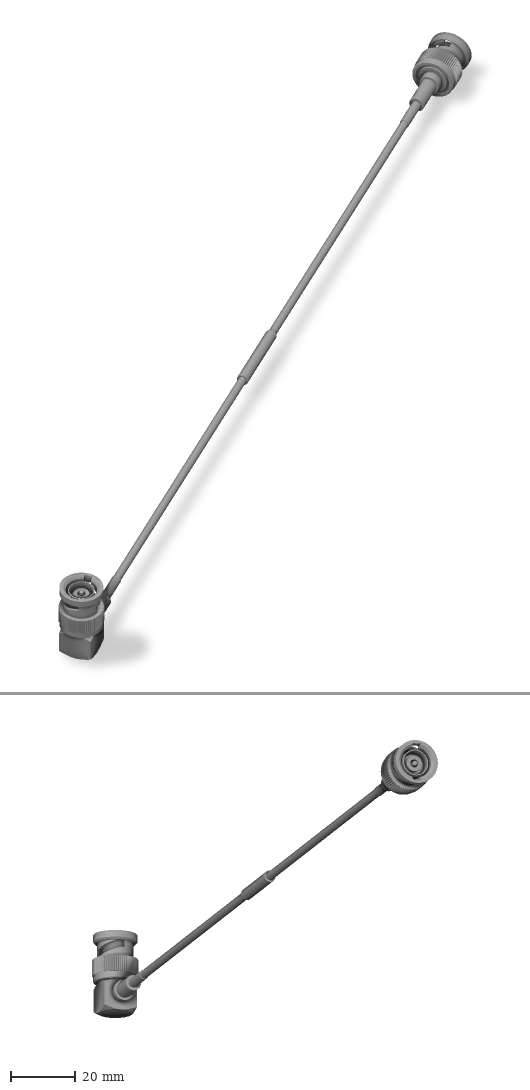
import cadquery as cq
import math


total_length = 306.5
knurl_tip_dia = 14.5
straight_tip_y = total_length - knurl_tip_dia / 2
total_height = 27.0
angle_tip_z = total_height - knurl_tip_dia / 2

flange_dia = 13.8
flange_length = 2.8
flange_bevel = 0.5
neck_dia = 11.3
knurl_start = 8.0
knurl_end = 13.2
knurl_root_dia = 13.5
knurl_teeth = 64
nut_length = 15.3
nut_rear_dia = 13.8
rear_bevel = 0.3
rear_groove_dia = 11.3
rear_groove_core_dia = 9.5
rear_groove_depth = 1.0

bore_dia = 9.8
bore_depth = 9.8
mouth_dia = 11.3
contact_dia = 8.3
contact_bore_dia = 7.7
contact_recess = 1.2
insulator_base_dia = 6.5
insulator_base_recess = 3.7
insulator_dia = 5.0
insulator_bore_dia = 2.6
insulator_recess = 2.5
pin_dia = 1.35
pin_recess = 1.8

slot_width = 2.6
slot_start = 3.7
detent_depth = 6.5
detent_dia = 3.0
ramp_turn = 90.0
entry_radius = 5.8
slot_count = 2

cable_dia = 2.6
collar_dia = 6.5
ferrule_dia = 5.0
strain_dia = 3.0
label_dia = 3.7
label_length = 23.3
label_center_y = 142.0
straight_collar_length = 2.8
straight_ferrule_length = 10.0
straight_strain_length = 9.8

body_size = 10.7
body_bottom_z = -body_size / 2
body_corner_height = 1.2
elbow_collar_start_y = 7.7
elbow_collar_length = 1.2
elbow_ferrule_length = 9.2
elbow_strain_length = 10.5
elbow_neck_dia = 5.8


def disc(dia, start, end):
    """Cylinder on the plug axis between two distances behind the mating face."""
    return cq.Workplane("XY").workplane(offset=-end).circle(dia / 2).extrude(end - start)


def knurled_band():
    """Band of straight ridges with V-shaped grooves between them."""
    points = []
    for i in range(2 * knurl_teeth):
        radius = (knurl_root_dia if i % 2 else knurl_tip_dia) / 2
        angle = math.pi * i / knurl_teeth
        points.append((radius * math.cos(angle), radius * math.sin(angle)))
    band = cq.Workplane("XY").workplane(offset=-knurl_end).polyline(points).close()
    return band.extrude(knurl_end - knurl_start)


def bayonet_slot():
    """Entry groove, helical ramp and round detent of one bayonet stud; the detent faces -X."""
    rise = detent_depth - slot_start
    middle_radius = (bore_dia + neck_dia) / 4
    depth = neck_dia - bore_dia
    path = cq.Wire.makeHelix(rise * 360 / ramp_turn, rise, middle_radius)
    ramp = (
        cq.Workplane("XZ")
        .center(middle_radius, 0)
        .rect(depth, slot_width)
        .sweep(cq.Workplane(obj=path), isFrenet=True)
        .translate((0, 0, -detent_depth))
    )
    detent = (
        cq.Workplane("YZ")
        .center(0, -detent_depth)
        .circle(detent_dia / 2)
        .extrude(flange_dia / 2)
    )
    entry = (
        cq.Workplane("XY")
        .workplane(offset=-slot_start - slot_width / 2)
        .center(entry_radius / 2, 0)
        .rect(entry_radius, slot_width)
        .extrude(slot_start + slot_width / 2)
        .rotate((0, 0, 0), (0, 0, 1), ramp_turn)
    )
    return ramp.union(detent).union(entry).rotate((0, 0, 0), (0, 0, 1), 180)


def bayonet_plug():
    """Complete plug on the Z axis, mating face at Z = 0, opening toward +Z."""
    flange = disc(flange_dia, 0, flange_length).faces("<Z").chamfer(flange_bevel)
    rear = disc(nut_rear_dia, knurl_end, nut_length).faces("<Z").chamfer(rear_bevel)
    neck = disc(neck_dia, flange_length, knurl_start)
    nut = flange.union(neck).union(knurled_band()).union(rear)
    mouth = cq.Workplane("XY").circle(mouth_dia / 2).extrude(-(mouth_dia - bore_dia) / 2, taper=45)
    groove_start = nut_length - rear_groove_depth
    groove = disc(rear_groove_dia, groove_start, nut_length)
    groove = groove.cut(disc(rear_groove_core_dia, groove_start, nut_length))
    nut = nut.cut(disc(bore_dia, 0, bore_depth)).cut(mouth).cut(groove)
    for i in range(slot_count):
        nut = nut.cut(bayonet_slot().rotate((0, 0, 0), (0, 0, 1), i * 360 / slot_count))
    contact = disc(contact_dia, contact_recess, bore_depth)
    contact = contact.cut(disc(contact_bore_dia, contact_recess, bore_depth))
    insulator = disc(insulator_dia, insulator_recess, bore_depth)
    insulator = insulator.union(disc(insulator_base_dia, insulator_base_recess, bore_depth))
    insulator = insulator.cut(disc(insulator_bore_dia, insulator_recess, bore_depth))
    pin = disc(pin_dia, pin_recess, bore_depth)
    return nut.union(contact).union(insulator).union(pin)


def rod(dia, start_y, end_y):
    """Cylinder on the cable axis between two Y positions."""
    return cq.Workplane("XZ").workplane(offset=-end_y).circle(dia / 2).extrude(end_y - start_y)


def straight_end():
    """Straight plug with its collar, ferrule and strain relief."""
    plug = bayonet_plug().rotate((0, 0, 0), (1, 0, 0), -90).translate((0, straight_tip_y, 0))
    collar_y = straight_tip_y - nut_length
    ferrule_y = collar_y - straight_collar_length
    strain_y = ferrule_y - straight_ferrule_length
    return (
        plug.union(rod(collar_dia, ferrule_y, collar_y))
        .union(rod(ferrule_dia, strain_y, ferrule_y))
        .union(rod(strain_dia, strain_y - straight_strain_length, strain_y))
    )


def elbow_body():
    """Square block whose eight corners are turned down to cones, as on a nut."""
    height = angle_tip_z - nut_length - body_bottom_z
    corner_radius = body_size / math.sqrt(2)
    corner_cut = corner_radius - body_size / 2
    base = cq.Workplane("XY").workplane(offset=body_bottom_z)
    block = base.rect(body_size, body_size).extrude(height)
    turned = base.circle(corner_radius).extrude(height)
    turned = turned.faces("<Z or >Z").chamfer(body_corner_height, corner_cut)
    return block.intersect(turned)


def angle_end():
    """Right-angle plug with its elbow body, collar, ferrule and strain relief."""
    plug = bayonet_plug().translate((0, 0, angle_tip_z))
    body = elbow_body()
    ferrule_y = elbow_collar_start_y + elbow_collar_length
    strain_y = ferrule_y + elbow_ferrule_length
    return (
        plug.union(body)
        .union(rod(elbow_neck_dia, 0, elbow_collar_start_y))
        .union(rod(collar_dia, elbow_collar_start_y, ferrule_y))
        .union(rod(ferrule_dia, ferrule_y, strain_y))
        .union(rod(strain_dia, strain_y, strain_y + elbow_strain_length))
    )


cable = rod(cable_dia, 0, straight_tip_y - nut_length)
label = rod(label_dia, label_center_y - label_length / 2, label_center_y + label_length / 2)
result = cable.union(label).union(straight_end()).union(angle_end())